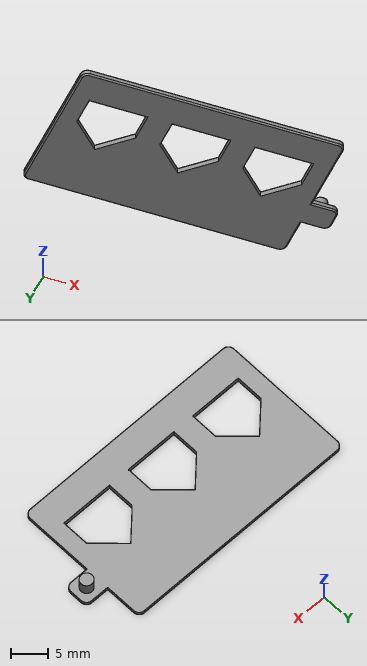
import cadquery as cq

overall_length = 42.0
plate_width = 22.0
plate_thickness = 0.8
corner_radius = 1.0
bottom_chamfer = 0.2

tab_length = 4.0
tab_width = 4.0
tab_offset_y = 3.0
pin_diameter = 2.0
pin_height = 2.0

window_count = 3
window_pitch = 12.0
window_width = 8.5
window_height = 8.5
window_wall_height = 4.35
window_margin = 4.7

plate_length = overall_length - tab_length
plate_end_x = plate_length / 2
tab_end_x = plate_end_x + tab_length
pin_x = tab_end_x - tab_width / 2
window_sill_y = -plate_width / 2 + window_margin


def rounded_plate():
    """Plate with rounded vertical corners."""
    plate = cq.Workplane("XY").box(plate_length, plate_width, plate_thickness, centered=(True, True, False))
    return plate.edges("|Z").fillet(corner_radius)


def rounded_tab():
    """Tab reaching back to the plate centre, rounded at its free end."""
    tab = (
        cq.Workplane("XY")
        .center(0, tab_offset_y)
        .box(tab_end_x, tab_width, plate_thickness, centered=(False, True, False))
    )
    return tab.edges("|Z and >X").fillet(corner_radius)


def window(center_x):
    """Cutter for one window: straight walls under a pointed roof."""
    left_x = center_x - window_width / 2
    right_x = center_x + window_width / 2
    shoulder_y = window_sill_y + window_wall_height
    outline = [
        (left_x, window_sill_y),
        (right_x, window_sill_y),
        (right_x, shoulder_y),
        (center_x, window_sill_y + window_height),
        (left_x, shoulder_y),
    ]
    return cq.Workplane("XY").polyline(outline).close().extrude(plate_thickness)


result = rounded_plate().union(rounded_tab()).clean()
result = result.faces("<Z").edges().chamfer(bottom_chamfer)

for index in range(window_count):
    window_x = (index - (window_count - 1) / 2) * window_pitch
    result = result.cut(window(window_x))

pin = (
    cq.Workplane("XY")
    .workplane(offset=plate_thickness)
    .center(pin_x, tab_offset_y)
    .circle(pin_diameter / 2)
    .extrude(pin_height)
)
result = result.union(pin)